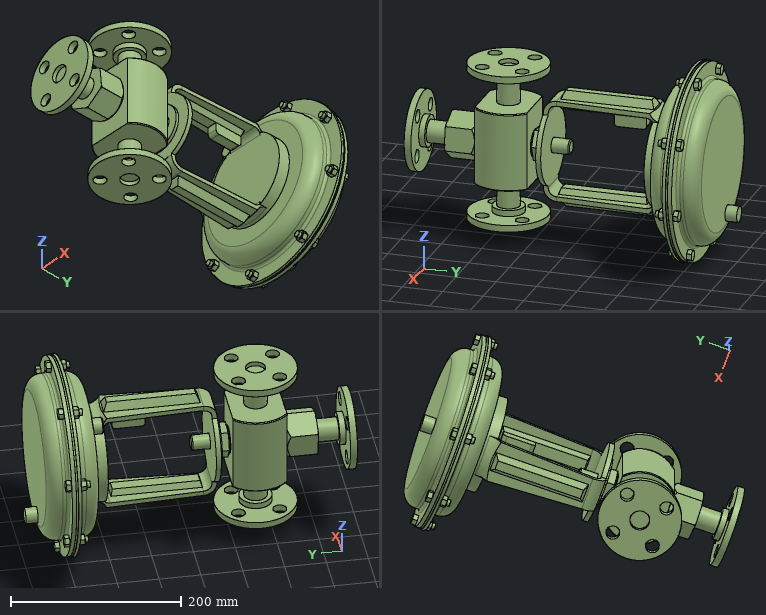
import cadquery as cq
import math


diagonal = math.sqrt(0.5)
half_hex_step = 30

casing_back = 264.5
back_flange_back = 239.8
gasket_back = 234.5
gasket_front = 232.3
front_flange_front = 228.5
casing_front = 202.0
hub_front = 186.0

front_flange_radius = 241.5 / 2
back_flange_radius = 119.5
gasket_radius = 119.3
dome_radius = 99.0
dome_corner = 17.3
dome_root_fillet = 3.5
hub_radius = 59.0

casing_bolt_count = 8
casing_bolt_circle = 112.0
casing_bolt_first_angle = 30
casing_bolt_radius = 4.0
casing_bolt_front = 217.0
bolt_hex_radius = 7.0
bolt_head_height = 6.0
bolt_nut_height = 7.0
bolt_nut_chamfer = 1.0

air_port_radius = 10.0
air_port_circle = 70.2
front_air_port_angle = 120
back_air_port_angle = 255
front_air_port_end = 188.7
back_air_port_end = 279.0
front_air_port_chamfer = 1.5

yoke_thickness = 6.3
yoke_bend_radius = 10.2
yoke_plate_front = 49.0
yoke_plate_radius = 48.5
arm_outer_height = 63.0
arm_root_half_width = 25.5
arm_tip_half_width = 39.5 / 2
arm_root_fillet = 8.0
arm_root_back = 196.5
arm_cove_radius = 15.5
yoke_plate_back = yoke_plate_front + yoke_thickness
arm_inner_height = arm_outer_height - yoke_thickness

ridge_base_half_width = 11.5
outer_ridge_height = 10.0
outer_ridge_top_half_width = 5.5
outer_ridge_start = 68.0
outer_ridge_end = 183.3
outer_ridge_end_slope = 4.5
inner_ridge_height = 7.0
inner_ridge_top_half_width = 7.0
inner_ridge_start = 65.0
inner_ridge_end = 174.5
inner_ridge_end_slope = 2.5

lug_start = 132.5
lug_end = 172.5
lug_bottom = 35.0
lug_half_width = 7.0
lug_corner = 4.7

body_radius = 44.7
body_flat_distance = 64.7 / 2
body_half_height = 48.3
body_edge_chamfer = 1.0

stem_radius = 18.5 / 2
stem_end = 77.5
stem_chamfer = 1.5
washer_radius = 31.8
washer_front = 45.0
bonnet_nut_radius = 21.0
bonnet_nut_chamfer = 2.0
bonnet_nut_end = 34.5
bonnet_neck_radius = 17.5
bonnet_neck_chamfer = 1.0
hex_turn = 5.5

union_nut_radius = 30.0
union_nut_end = 70.5
union_nut_body_chamfer = 5.5
union_nut_end_chamfer = 1.0

port_pipe_radius = 28.0 / 2
port_collar_radius = 19.5
port_collar_length = 7.5
port_flange_radius = 49.5
port_flange_thickness = 8.5
port_bolt_circle = 35.0
port_bolt_hole_radius = 16.0 / 2
port_bolt_angle = 45
port_bolt_count = 4
port_bore_radius = 23.0 / 2
port_bore_depth = 5.5
vertical_port_reach = 97.7
front_port_reach = 113.5
front_port_turn = 3


def rod(radius, y_start, y_end, x=0.0, z=0.0):
    """Cylinder parallel to the stem axis."""
    return cq.Workplane("XZ", origin=(x, y_start, z)).circle(radius).extrude(y_start - y_end)


def hex_prism(radius, y_back, y_front, angle, x=0.0, z=0.0):
    """Hexagonal prism parallel to the stem axis; one corner lies at `angle` from +X."""
    corners = []
    for i in range(6):
        turn = math.radians(angle + 60 * i)
        corners.append((radius * math.cos(turn), radius * math.sin(turn)))
    return cq.Workplane("XZ", origin=(x, y_back, z)).polyline(corners).close().extrude(y_back - y_front)


def polar(radius, angle):
    """X and Z of a point at `angle` from +X around the stem axis."""
    return radius * math.cos(math.radians(angle)), radius * math.sin(math.radians(angle))


def dome(flange_face, end_face):
    """Half of the casing: a dome filleted into the flange face and rounded at its closed end."""
    outward = 1 if end_face > flange_face else -1
    root_center = (dome_radius + dome_root_fillet, flange_face + outward * dome_root_fillet)
    corner_center = (dome_radius - dome_corner, end_face - outward * dome_corner)
    root_step = diagonal * dome_root_fillet
    corner_step = diagonal * dome_corner
    return (
        cq.Workplane("XY")
        .moveTo(0, flange_face)
        .lineTo(root_center[0], flange_face)
        .threePointArc(
            (root_center[0] - root_step, root_center[1] - outward * root_step),
            (dome_radius, root_center[1]),
        )
        .lineTo(dome_radius, corner_center[1])
        .threePointArc(
            (corner_center[0] + corner_step, corner_center[1] + outward * corner_step),
            (corner_center[0], end_face),
        )
        .lineTo(0, end_face)
        .close()
        .revolve(360, (0, 0, 0), (0, 1, 0))
    )


def make_casing():
    """Two domes, their clamped flanges with the gasket, and the hub that carries the yoke."""
    casing = rod(back_flange_radius, back_flange_back, gasket_back)
    casing = casing.union(rod(gasket_radius, gasket_back, gasket_front))
    casing = casing.union(rod(front_flange_radius, gasket_front, front_flange_front))
    casing = casing.union(dome(back_flange_back, casing_back))
    casing = casing.union(dome(front_flange_front, casing_front))
    return casing.union(rod(hub_radius, casing_front, hub_front))


def make_casing_bolt(angle):
    """Bolt head behind the flanges, with the nut and bolt end in front of them."""
    x, z = polar(casing_bolt_circle, angle)
    nut_front = front_flange_front - bolt_nut_height
    head_back = back_flange_back + bolt_head_height
    head = hex_prism(bolt_hex_radius, head_back, back_flange_back, angle + half_hex_step, x, z)
    nut = hex_prism(bolt_hex_radius, front_flange_front, nut_front, angle, x, z)
    nut_rounding = rod(bolt_hex_radius, front_flange_front, nut_front, x, z)
    nut = nut.intersect(nut_rounding.faces("<Y").chamfer(bolt_nut_chamfer))
    return head.union(nut).union(rod(casing_bolt_radius, nut_front, casing_bolt_front, x, z))


def make_air_ports():
    """One pipe stub on each face of the casing."""
    x, z = polar(air_port_circle, front_air_port_angle)
    front_port = rod(air_port_radius, casing_front, front_air_port_end, x, z)
    front_port = front_port.faces("<Y").chamfer(front_air_port_chamfer)
    x, z = polar(air_port_circle, back_air_port_angle)
    back_port = rod(air_port_radius, back_air_port_end, casing_back, x, z)
    return [front_port, back_port]


def ridge(base_z, height, top_half_width, y_start, y_end, end_slope):
    """Tapered ridge on an arm; a negative height makes it point towards the stem axis."""
    middle = (y_start + y_end) / 2
    length = y_end - y_start
    return (
        cq.Workplane("XY", origin=(0, middle, base_z))
        .rect(2 * ridge_base_half_width, length)
        .workplane(offset=height)
        .rect(2 * top_half_width, length - 2 * end_slope)
        .loft()
    )


def make_upper_arm():
    """Bent strip from the hub to the yoke plate, with its tapered plan and its two ridges."""
    outer_bend = yoke_bend_radius + yoke_thickness
    bend_y = yoke_plate_back + yoke_bend_radius
    bend_z = arm_inner_height - yoke_bend_radius
    fillet_y = hub_front - arm_root_fillet
    fillet_z = arm_inner_height - arm_root_fillet
    strip = (
        cq.Workplane("YZ", origin=(-arm_root_half_width, 0, 0))
        .moveTo(arm_root_back, fillet_z)
        .lineTo(hub_front, fillet_z)
        .threePointArc(
            (fillet_y + diagonal * arm_root_fillet, fillet_z + diagonal * arm_root_fillet),
            (fillet_y, arm_inner_height),
        )
        .lineTo(bend_y, arm_inner_height)
        .threePointArc(
            (bend_y - diagonal * yoke_bend_radius, bend_z + diagonal * yoke_bend_radius),
            (yoke_plate_back, bend_z),
        )
        .lineTo(yoke_plate_back, 0)
        .lineTo(yoke_plate_front, 0)
        .lineTo(yoke_plate_front, bend_z)
        .threePointArc(
            (bend_y - diagonal * outer_bend, bend_z + diagonal * outer_bend),
            (bend_y, arm_outer_height),
        )
        .lineTo(arm_root_back, arm_outer_height)
        .close()
        .extrude(2 * arm_root_half_width)
    )
    plan = (
        cq.Workplane("XY")
        .polyline([
            (-arm_tip_half_width, yoke_plate_front),
            (arm_tip_half_width, yoke_plate_front),
            (arm_tip_half_width, bend_y),
            (arm_root_half_width, hub_front),
            (arm_root_half_width, arm_root_back),
            (-arm_root_half_width, arm_root_back),
            (-arm_root_half_width, hub_front),
            (-arm_tip_half_width, bend_y),
        ])
        .close()
        .extrude(arm_outer_height)
    )
    cove = (
        cq.Workplane("XY")
        .center(hub_radius + arm_cove_radius, arm_root_back)
        .circle(arm_cove_radius)
        .revolve(360, (-hub_radius - arm_cove_radius, 0, 0), (-hub_radius - arm_cove_radius, 1, 0))
    )
    outer_ridge = ridge(arm_outer_height, outer_ridge_height, outer_ridge_top_half_width,
                        outer_ridge_start, outer_ridge_end, outer_ridge_end_slope)
    inner_ridge = ridge(arm_inner_height, -inner_ridge_height, inner_ridge_top_half_width,
                        inner_ridge_start, inner_ridge_end, inner_ridge_end_slope)
    return strip.intersect(plan).cut(cove).union(outer_ridge).union(inner_ridge)


def make_lug():
    """Plate hanging below the inner ridge of the upper arm, with rounded lower corners."""
    lug_top = arm_inner_height - inner_ridge_height
    return (
        cq.Workplane("XY")
        .box(2 * lug_half_width, lug_end - lug_start, lug_top - lug_bottom, centered=(True, False, False))
        .translate((0, lug_start, lug_bottom))
        .edges("|X and <Z")
        .fillet(lug_corner)
    )


def make_actuator():
    """Casing, bolts, air ports and yoke as one body, with a stem hole through the yoke plate."""
    actuator = make_casing()
    for i in range(casing_bolt_count):
        angle = casing_bolt_first_angle + i * 360 / casing_bolt_count
        actuator = actuator.union(make_casing_bolt(angle))
    for port in make_air_ports():
        actuator = actuator.union(port)
    upper_arm = make_upper_arm()
    actuator = actuator.union(upper_arm)
    actuator = actuator.union(upper_arm.mirror("XY"))
    actuator = actuator.union(rod(yoke_plate_radius, yoke_plate_back, yoke_plate_front))
    actuator = actuator.union(make_lug())
    return actuator.cut(rod(stem_radius, yoke_plate_back, yoke_plate_front))


def make_valve_body():
    """Upright cylinder with a flat on its front and its back."""
    cylinder = (
        cq.Workplane("XY", origin=(0, 0, -body_half_height))
        .circle(body_radius)
        .extrude(2 * body_half_height)
        .faces("<Z or >Z")
        .chamfer(body_edge_chamfer)
    )
    flats = cq.Workplane("XY").box(2 * body_radius, 2 * body_flat_distance, 2 * body_half_height)
    return cylinder.intersect(flats)


def make_bonnet():
    """Stem through the yoke plate, with the washer, nut and neck between the plate and the valve body."""
    stem = rod(stem_radius, stem_end, washer_front).faces(">Y").chamfer(stem_chamfer)
    washer = rod(washer_radius, yoke_plate_front, washer_front)
    nut = hex_prism(bonnet_nut_radius, washer_front, bonnet_nut_end, hex_turn)
    nut_rounding = rod(bonnet_nut_radius, washer_front, bonnet_nut_end)
    nut = nut.intersect(nut_rounding.faces(">Y").chamfer(bonnet_nut_chamfer))
    neck = rod(bonnet_neck_radius, bonnet_nut_end, body_flat_distance)
    neck = neck.faces("<Y").chamfer(bonnet_neck_chamfer)
    return stem.union(washer).union(nut).union(neck)


def make_union_nut():
    """Large nut between the valve body and the front port pipe."""
    nut = hex_prism(union_nut_radius, -body_flat_distance, -union_nut_end, hex_turn + half_hex_step)
    nut_rounding = (
        rod(union_nut_radius, -body_flat_distance, -union_nut_end)
        .faces(">Y").chamfer(union_nut_body_chamfer)
        .faces("<Y").chamfer(union_nut_end_chamfer)
    )
    return nut.intersect(nut_rounding)


def make_port(reach):
    """Flanged pipe pointing along +Z from the centre of the valve body."""
    flange_bottom = reach - port_flange_thickness
    collar_bottom = flange_bottom - port_collar_length
    pipe = cq.Workplane("XY").circle(port_pipe_radius).extrude(collar_bottom)
    collar = (
        cq.Workplane("XY", origin=(0, 0, collar_bottom))
        .circle(port_collar_radius)
        .extrude(port_collar_length)
    )
    flange = (
        cq.Workplane("XY", origin=(0, 0, flange_bottom))
        .circle(port_flange_radius)
        .extrude(port_flange_thickness)
        .faces(">Z").workplane(origin=(0, 0, reach))
        .polarArray(port_bolt_circle, port_bolt_angle, 360, port_bolt_count)
        .hole(2 * port_bolt_hole_radius)
        .faces(">Z").workplane(origin=(0, 0, reach))
        .hole(2 * port_bore_radius, port_bore_depth)
    )
    return pipe.union(collar).union(flange)


def make_valve():
    """Valve body, bonnet, union nut and the three flanged ports as one body."""
    upper_port = make_port(vertical_port_reach)
    front_port = (
        make_port(front_port_reach)
        .rotate((0, 0, 0), (0, 0, 1), front_port_turn)
        .rotate((0, 0, 0), (1, 0, 0), 90)
    )
    valve = make_valve_body()
    for part in (make_bonnet(), make_union_nut(), upper_port, upper_port.mirror("XY"), front_port):
        valve = valve.union(part)
    return valve


actuator = make_actuator()
valve = make_valve()

result = cq.Compound.makeCompound([actuator.val(), valve.val()])